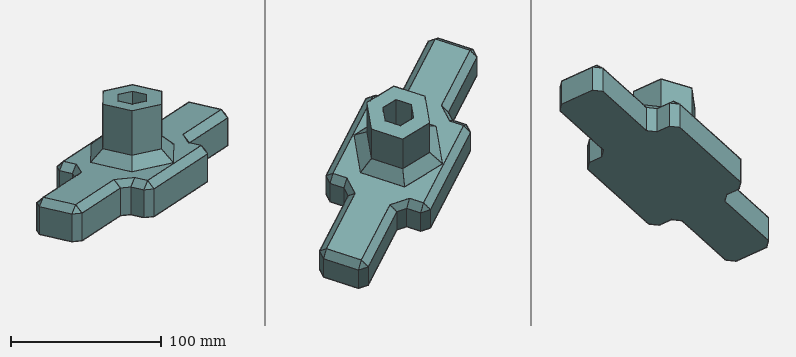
import cadquery as cq

bar_length = 200.0
bar_width = 35.0
block_width = 75.0
block_length = 80.0
base_height = 25.0
bevel = 5.0

total_height = 65.0
boss_corner_diameter = 45.0
flare = 8.0
socket_corner_diameter = 22.0
socket_depth = total_height - base_height

shoulder_height = base_height - bevel
hex_flats_per_corners = 3 ** 0.5 / 2


def beveled_box(width, length):
    """Box with its upright and top edges beveled."""
    box = cq.Workplane("XY").box(width, length, base_height, centered=(True, True, False))
    return box.edges("|Z or >Z").chamfer(bevel)


def corner_cut_outline(plane, corner_cut):
    """Rectangle, with cut corners, that fills the inner corners of the base."""
    half_x = bar_width / 2 + bevel
    half_y = block_length / 2 + bevel
    points = [
        (half_x, half_y - corner_cut),
        (half_x - corner_cut, half_y),
        (-half_x + corner_cut, half_y),
        (-half_x, half_y - corner_cut),
        (-half_x, -half_y + corner_cut),
        (-half_x + corner_cut, -half_y),
        (half_x - corner_cut, -half_y),
        (half_x, -half_y + corner_cut),
    ]
    return plane.polyline(points).close()


def inner_corner_fill():
    """Diagonal webs in the inner corners, sloping inward along the top bevel."""
    lower = corner_cut_outline(cq.Workplane("XY"), bevel).extrude(shoulder_height)
    shoulder = corner_cut_outline(cq.Workplane("XY").workplane(offset=shoulder_height), bevel)
    upper = corner_cut_outline(shoulder.workplane(offset=bevel), 2 * bevel).loft(ruled=True)
    return lower.union(upper)


def boss():
    """Hexagonal post rising from a 45 degree flared foot."""
    foot_corner_diameter = boss_corner_diameter + 2 * flare / hex_flats_per_corners
    base_top = cq.Workplane("XY").workplane(offset=base_height)
    post = base_top.polygon(6, boss_corner_diameter).extrude(total_height - base_height)
    foot = (
        base_top.polygon(6, foot_corner_diameter)
        .workplane(offset=flare)
        .polygon(6, boss_corner_diameter)
        .loft(ruled=True)
    )
    return post.union(foot)


def socket():
    """Hexagonal socket, open at the top of the boss and ending level with the base top."""
    socket_floor = cq.Workplane("XY").workplane(offset=total_height - socket_depth)
    return socket_floor.polygon(6, socket_corner_diameter).extrude(socket_depth)


bar = beveled_box(bar_width, bar_length)
block = beveled_box(block_width, block_length)
base = block.union(bar).union(inner_corner_fill())
result = base.union(boss()).cut(socket()).clean()